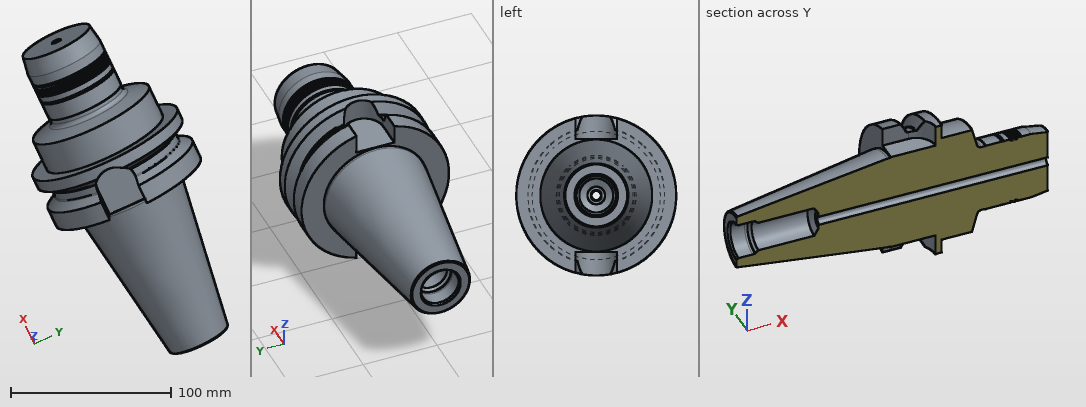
import cadquery as cq
import math

LENGTH = 211.8

TAPER_RATE = 7 / 24
GAUGE_X = 102.7
GAUGE_RADIUS = 35.0
SHANK_CHAMFER = 0.6
SHANK_END_RADIUS = GAUGE_RADIUS - GAUGE_X * TAPER_RATE / 2

FLANGE_START_X = 104.8
FLANGE_END_X = 139.8
FLANGE_RADIUS = 50.0
V_START_X = 117.3
V_END_X = 132.0
V_FLOOR_RADIUS = 42.5
V_FLANK_ANGLE = 30.0
V_FLOOR_FILLET = 0.8
V_FLANK_RUN = (FLANGE_RADIUS - V_FLOOR_RADIUS) * math.tan(math.radians(V_FLANK_ANGLE))

SLOT_WIDTH = 25.6
SLOT_FLOOR_Z = 35.4
SLOT_END_X = 135.3

BODY_RADIUS = 40.0
BODY_END_X = 160.3
SHOULDER_ANGLE = 15.0
NECK_RADIUS = 24.8
NECK_FILLET = 3.0
NOSE_START_X = 169.5
NOSE_RADIUS = 25.0
TIP_START_X = 200.4
TIP_RADIUS = 23.0

MARK_GROOVE_XS = (181.0, 193.2)
MARK_GROOVE_WIDTH = 1.3
MARK_GROOVE_DEPTH = 0.1

FIRST_RING_X = 187.0
RING_PITCH = 3.0
RING_CENTRES_X = (FIRST_RING_X, FIRST_RING_X + RING_PITCH)
RING_WIDTH = 1.0
RING_RECESS = 0.2
RING_THICKNESS = 0.8
RING_OUTER_RADIUS = NOSE_RADIUS - RING_RECESS
RING_INNER_RADIUS = RING_OUTER_RADIUS - RING_THICKNESS
GROOVE_MOUTH_WIDTH = 2.0

MOUTH_RADIUS = 13.5
MOUTH_CHAMFER_LENGTH = 1.5
PILOT_RADIUS = 12.7
PILOT_DEPTH = 11.2
SEAT_RADIUS = 12.5
SEAT_DEPTH = 13.0
LEAD_IN_RADIUS = 12.3
THREAD_START = 15.0
THREAD_RADIUS = 10.5
THREAD_DEPTH = 53.0
BORE_FLOOR_RADIUS = 5.5
BORE_CONE_LENGTH = 3.0
HOLE_RADIUS = 3.0
HOLE_MOUTH_RADIUS = 3.4


def revolve_about_x(points):
    """Closed (x, radius) outline turned about the X axis."""
    return cq.Workplane("XZ").polyline(points).close().revolve(360, (0, 0, 0), (1, 0, 0))


def arc_point(centre, radius, angle):
    """Point of an arc below its centre; the angle in radians runs from straight down toward +X."""
    return (centre[0] + radius * math.sin(angle), centre[1] - radius * math.cos(angle))


def corner_centre_offset(radius, turn):
    """Distance along X from a corner on a cylinder to the centre of its tangent fillet."""
    return radius * math.tan(turn / 2)


def outer_form():
    """Turned outside of the holder, solid to the axis."""
    shank_shoulder_radius = SHANK_END_RADIUS + SHANK_CHAMFER * TAPER_RATE / 2

    v_turn = math.radians(90 - V_FLANK_ANGLE)
    v_offset = V_FLANK_RUN + corner_centre_offset(V_FLOOR_FILLET, v_turn)
    v_centre_radius = V_FLOOR_RADIUS + V_FLOOR_FILLET
    v_left = (V_START_X + v_offset, v_centre_radius)
    v_right = (V_END_X - v_offset, v_centre_radius)

    neck_turn = math.radians(90 - SHOULDER_ANGLE)
    shoulder_run = (BODY_RADIUS - NECK_RADIUS) * math.tan(math.radians(SHOULDER_ANGLE))
    neck_offset = shoulder_run + corner_centre_offset(NECK_FILLET, neck_turn)
    neck = (BODY_END_X + neck_offset, NECK_RADIUS + NECK_FILLET)

    outline = (
        cq.Workplane("XZ")
        .moveTo(0, 0)
        .lineTo(0, SHANK_END_RADIUS - SHANK_CHAMFER)
        .lineTo(SHANK_CHAMFER, shank_shoulder_radius)
        .lineTo(GAUGE_X, GAUGE_RADIUS)
        .lineTo(FLANGE_START_X, GAUGE_RADIUS)
        .lineTo(FLANGE_START_X, FLANGE_RADIUS)
        .lineTo(V_START_X, FLANGE_RADIUS)
        .lineTo(*arc_point(v_left, V_FLOOR_FILLET, -v_turn))
        .threePointArc(arc_point(v_left, V_FLOOR_FILLET, -v_turn / 2), arc_point(v_left, V_FLOOR_FILLET, 0))
        .lineTo(*arc_point(v_right, V_FLOOR_FILLET, 0))
        .threePointArc(
            arc_point(v_right, V_FLOOR_FILLET, v_turn / 2), arc_point(v_right, V_FLOOR_FILLET, v_turn)
        )
        .lineTo(V_END_X, FLANGE_RADIUS)
        .lineTo(FLANGE_END_X, FLANGE_RADIUS)
        .lineTo(FLANGE_END_X, BODY_RADIUS)
        .lineTo(BODY_END_X, BODY_RADIUS)
        .lineTo(*arc_point(neck, NECK_FILLET, -neck_turn))
        .threePointArc(arc_point(neck, NECK_FILLET, -neck_turn / 2), arc_point(neck, NECK_FILLET, 0))
        .lineTo(NOSE_START_X, NECK_RADIUS)
        .lineTo(NOSE_START_X, NOSE_RADIUS)
        .lineTo(TIP_START_X, NOSE_RADIUS)
        .lineTo(LENGTH, TIP_RADIUS)
        .lineTo(LENGTH, 0)
        .close()
    )
    return outline.revolve(360, (0, 0, 0), (1, 0, 0))


def bore():
    """Material removed by the stepped bore and the through hole."""
    floor_x = THREAD_DEPTH + BORE_CONE_LENGTH
    return revolve_about_x(
        [
            (0, 0),
            (0, MOUTH_RADIUS),
            (MOUTH_CHAMFER_LENGTH, PILOT_RADIUS),
            (PILOT_DEPTH, PILOT_RADIUS),
            (SEAT_DEPTH, SEAT_RADIUS),
            (SEAT_DEPTH, LEAD_IN_RADIUS),
            (THREAD_START, THREAD_RADIUS),
            (THREAD_DEPTH, THREAD_RADIUS),
            (floor_x, BORE_FLOOR_RADIUS),
            (floor_x, HOLE_MOUTH_RADIUS),
            (floor_x + HOLE_MOUTH_RADIUS - HOLE_RADIUS, HOLE_RADIUS),
            (LENGTH, HOLE_RADIUS),
            (LENGTH, 0),
        ]
    )


def key_slot():
    """Round-ended slot cut into the +Z side of the flange from its shank face."""
    end_radius = SLOT_WIDTH / 2
    height = FLANGE_RADIUS - SLOT_FLOOR_Z
    end_centre_x = SLOT_END_X - end_radius
    return (
        cq.Workplane("XY", origin=(0, 0, SLOT_FLOOR_Z))
        .moveTo(FLANGE_START_X, -end_radius)
        .lineTo(end_centre_x, -end_radius)
        .threePointArc((SLOT_END_X, 0), (end_centre_x, end_radius))
        .lineTo(FLANGE_START_X, end_radius)
        .close()
        .extrude(height)
    )


def mark_groove(centre_x):
    """Shallow rectangular groove around the nose."""
    half = MARK_GROOVE_WIDTH / 2
    floor = NOSE_RADIUS - MARK_GROOVE_DEPTH
    return revolve_about_x(
        [
            (centre_x - half, floor),
            (centre_x + half, floor),
            (centre_x + half, NOSE_RADIUS),
            (centre_x - half, NOSE_RADIUS),
        ]
    )


def ring_groove(centre_x):
    """Groove that fits a ring, widening from the ring's outside to the nose surface."""
    half = RING_WIDTH / 2
    half_mouth = GROOVE_MOUTH_WIDTH / 2
    return revolve_about_x(
        [
            (centre_x - half, RING_INNER_RADIUS),
            (centre_x + half, RING_INNER_RADIUS),
            (centre_x + half, RING_OUTER_RADIUS),
            (centre_x + half_mouth, NOSE_RADIUS),
            (centre_x - half_mouth, NOSE_RADIUS),
            (centre_x - half, RING_OUTER_RADIUS),
        ]
    )


def make_holder():
    holder = outer_form().cut(bore())
    slot = key_slot()
    for turn in (0, 180):
        holder = holder.cut(slot.rotate((0, 0, 0), (1, 0, 0), turn))
    for x in MARK_GROOVE_XS:
        holder = holder.cut(mark_groove(x))
    for x in RING_CENTRES_X:
        holder = holder.cut(ring_groove(x))
    return holder


def make_ring(centre_x):
    half = RING_WIDTH / 2
    return revolve_about_x(
        [
            (centre_x - half, RING_INNER_RADIUS),
            (centre_x + half, RING_INNER_RADIUS),
            (centre_x + half, RING_OUTER_RADIUS),
            (centre_x - half, RING_OUTER_RADIUS),
        ]
    )


holder = make_holder()
rings = [make_ring(x).val() for x in RING_CENTRES_X]

result = cq.Compound.makeCompound([holder.val(), *rings])